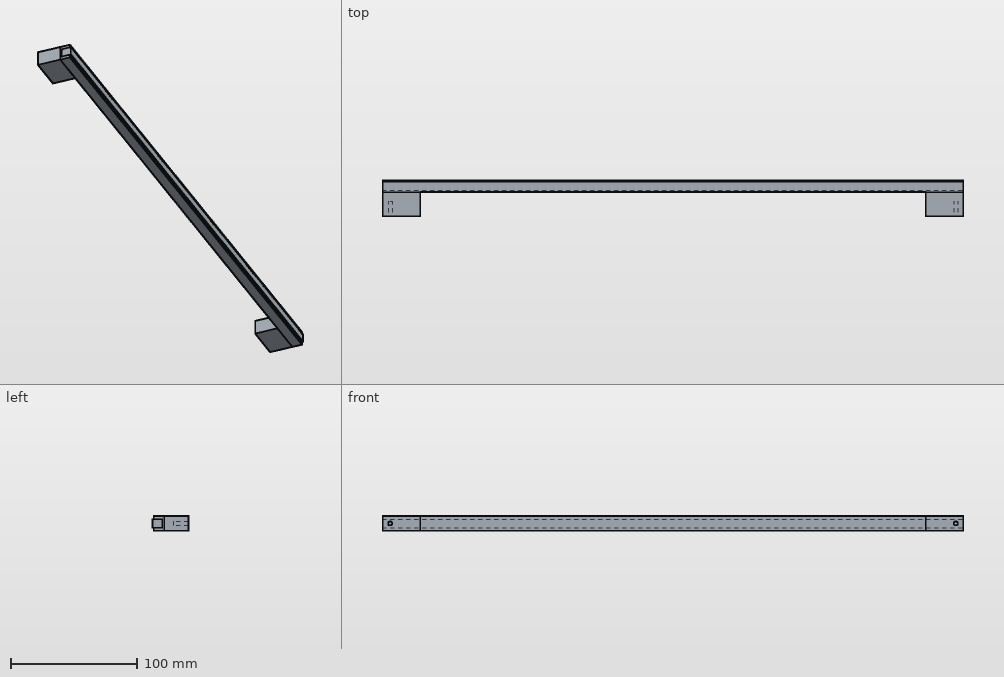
import cadquery as cq

LENGTH = 460.0
DEPTH = 28.5
HEIGHT = 12.0

FOOT_WIDTH = 30.0
FOOT_DEPTH = 19.5
HOLE_DIAMETER = 3.0
HOLE_DEPTH = 12.0
HOLE_END_DISTANCE = 6.0

STRIP_PROJECTION = 1.0
STRIP_HEIGHT = 7.0
WEB_THICKNESS = 1.5

RAIL_DEPTH = DEPTH - FOOT_DEPTH - STRIP_PROJECTION
STRIP_DEPTH = RAIL_DEPTH - WEB_THICKNESS + STRIP_PROJECTION
RAIL_BACK_Y = FOOT_DEPTH
STRIP_BACK_Y = RAIL_BACK_Y + WEB_THICKNESS


def bar(length, depth, height, center_x, back_y):
    """Box centred on X and Z that extends toward +Y from back_y."""
    return (
        cq.Workplane("XY")
        .box(length, depth, height, centered=(True, False, True))
        .translate((center_x, back_y, 0))
    )


def make_strip():
    """Full-length strip, also the shape of the groove that holds it."""
    return bar(LENGTH, STRIP_DEPTH, STRIP_HEIGHT, 0, STRIP_BACK_Y)


def make_rail():
    """Channel whose groove opens toward +Y."""
    return bar(LENGTH, RAIL_DEPTH, HEIGHT, 0, RAIL_BACK_Y).cut(make_strip())


def make_foot(side):
    """Foot at one end (side is -1 or 1) with a blind mounting hole."""
    foot = bar(FOOT_WIDTH, FOOT_DEPTH, HEIGHT, side * (LENGTH - FOOT_WIDTH) / 2, 0)
    hole = (
        cq.Workplane("XZ")
        .center(side * (LENGTH / 2 - HOLE_END_DISTANCE), 0)
        .circle(HOLE_DIAMETER / 2)
        .extrude(-HOLE_DEPTH)
    )
    return foot.cut(hole)


strip = make_strip()
rail = make_rail()
feet = [make_foot(side) for side in (-1, 1)]

result = cq.Compound.makeCompound([rail.val(), strip.val(), *[foot.val() for foot in feet]])